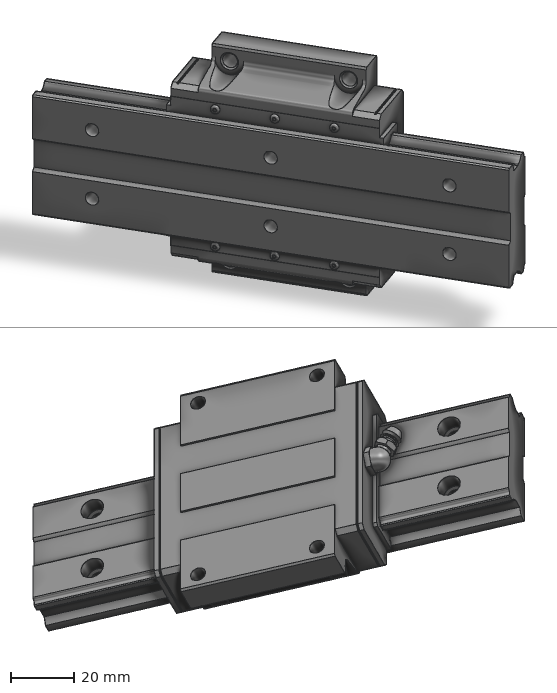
import cadquery as cq
import math


RAIL_LENGTH = 160.0
RAIL_HALF_WIDTH = 21.0
RAIL_BACK = 15.0
RAIL_EDGE = 0.5
RACE_HALF_WIDTH = 18.4
RACE_START = 4.6
RACE_END = 8.3
LIP_Y = 3.4
RIDGE_HALF_WIDTH = 20.8
RIDGE_FRONT = 11.4
RIDGE_BACK = 13.5
SHOULDER_HALF_WIDTH = 18.4
RACE_SAG = 0.3
RACE_BEVEL = 0.3
CHANNEL_HALF_WIDTH = 4.8
FRONT_CHANNEL_DEPTH = 1.5
BACK_CHANNEL_DEPTH = 1.0
CHANNEL_FLARE = 1.0
RAIL_HOLE_PITCH = 60.0
RAIL_HOLE_Z = 12.0
RAIL_HOLE_DIAMETER = 4.5
RAIL_BORE_DIAMETER = 7.5
RAIL_BORE_DEPTH = 5.3

TOTAL_HEIGHT = 27.0
CARRIAGE_FRONT = 4.0
BLOCK_HALF_LENGTH = 26.0
BLOCK_HALF_WIDTH = 40.0
FLANGE_FRONT = 17.1
FLANGE_EDGE_DEPTH = 0.5
FLANGE_EDGE_WIDTH = 0.8
FLANGE_FILLET = 2.7
WALL_TOP_HALF_WIDTH = 32.8
WALL_LOW_HALF_WIDTH = 30.5
CORNER_RADIUS = 2.0
CAP_HALF_LENGTH = 35.0
CAP_HALF_WIDTH = 30.4
CAP_BACK = 26.4
CAP_CHAMFER = 1.6
JOINT_HALF_LENGTH = 33.5
JOINT_WIDTH = 0.5
JOINT_DEPTH = 0.3
PAD_GROOVE_INNER = 7.7
PAD_GROOVE_OUTER = 19.4
SEAL_HALF_LENGTH = 36.5
SEAL_HALF_WIDTH = 22.9
SEAL_CHAMFER = 1.0
SEAL_LIP_Y = 4.8
SEAL_LIP_HALF_WIDTH = 19.8
SEAL_MOUTH_HALF_WIDTH = 20.3
STRIP_HALF_WIDTH = 26.0
STRIP_STEP = 0.2
BODY_FRONT = CARRIAGE_FRONT + STRIP_STEP
SCREW_PITCH = 20.0
SCREW_Z = 24.0
SCREW_DIAMETER = 3.0
SCREW_HEIGHT = 1.0
SCREW_ROUND = 0.6
SOCKET_DIAMETER = 1.1
SOCKET_DEPTH = 0.5
MOUNT_X = 20.0
MOUNT_Z = 34.9
MOUNT_DIAMETER = 5.0
MOUNT_SINK_DIAMETER = 6.0
SPOTFACE_DIAMETER = 9.5

NIPPLE_Y = 21.1
NIPPLE_TILT = 30.0
BASE_FLATS = 8.0
BASE_THICKNESS = 2.0
BALL_DIAMETER = 8.0
ELBOW_REACH = 38.4
COLLAR_FLATS = 6.7
COLLAR_START = 4.2
COLLAR_END = 7.2
COLLAR_BEVEL = 1.5
NECK_DIAMETER = 5.0
HEAD_DIAMETER = 6.5
HEAD_START = 7.7
HEAD_GROOVE = 8.5
HEAD_RIM = 9.3
TIP_DIAMETER = 4.5
TIP_END = 11.7
INLET_DIAMETER = 2.0
INLET_DEPTH = 1.0


def hex_diameter(flats):
    """Across-corners size of a hexagon from its across-flats size."""
    return flats / math.cos(math.pi / 6)


def bar_along_x(outline, half_length):
    """Extrude a (Y, Z) outline symmetrically about X = 0."""
    return outline.close().extrude(half_length, both=True)


def y_cylinders(points_xz, diameter, y_start, y_end):
    """Cylinders along +Y standing on the plane Y = y_start."""
    plane = cq.Plane(origin=(0, y_start, 0), xDir=(1, 0, 0), normal=(0, 1, 0))
    points = [(x, -z) for x, z in points_xz]
    return cq.Workplane(plane).pushPoints(points).circle(diameter / 2).extrude(y_end - y_start)


def arc_middle(start, end, sag):
    """Middle point of an arc that bulges by sag toward -Z from the chord."""
    chord_y = end[0] - start[0]
    chord_z = end[1] - start[1]
    length = math.hypot(chord_y, chord_z)
    middle_y = (start[0] + end[0]) / 2 + sag * chord_z / length
    middle_z = (start[1] + end[1]) / 2 - sag * abs(chord_y) / length
    return middle_y, middle_z


def half_profile(front_points):
    """Upper half of the rail section: front_points, groove, ridge and shoulder, closed at Z = 0."""
    groove_low = (RACE_END + RACE_BEVEL, RACE_HALF_WIDTH + RACE_BEVEL)
    groove_high = (RIDGE_FRONT - RACE_BEVEL, RIDGE_HALF_WIDTH - RACE_BEVEL)
    back_high = (RIDGE_BACK + RACE_BEVEL, RIDGE_HALF_WIDTH - RACE_BEVEL)
    back_low = (RAIL_BACK - RACE_BEVEL, SHOULDER_HALF_WIDTH + RACE_BEVEL)
    return (
        cq.Workplane("YZ")
        .polyline(front_points + [(RACE_END, RACE_HALF_WIDTH), groove_low])
        .threePointArc(arc_middle(groove_low, groove_high, RACE_SAG), groove_high)
        .lineTo(RIDGE_FRONT, RIDGE_HALF_WIDTH)
        .lineTo(RIDGE_BACK, RIDGE_HALF_WIDTH)
        .lineTo(*back_high)
        .threePointArc(arc_middle(back_high, back_low, RACE_SAG), back_low)
        .lineTo(RAIL_BACK, SHOULDER_HALF_WIDTH)
        .lineTo(RAIL_BACK, CHANNEL_HALF_WIDTH + CHANNEL_FLARE)
        .lineTo(RAIL_BACK - BACK_CHANNEL_DEPTH, CHANNEL_HALF_WIDTH)
        .lineTo(RAIL_BACK - BACK_CHANNEL_DEPTH, 0)
    )


def with_mirror(half):
    """Join a Z > 0 half with its mirror image below Z = 0."""
    return half.union(half.mirror("XY")).clean()


def make_rail():
    front_points = [
        (FRONT_CHANNEL_DEPTH, 0),
        (FRONT_CHANNEL_DEPTH, CHANNEL_HALF_WIDTH),
        (0, CHANNEL_HALF_WIDTH + CHANNEL_FLARE),
        (0, RAIL_HALF_WIDTH - RAIL_EDGE),
        (RAIL_EDGE, RAIL_HALF_WIDTH),
        (LIP_Y, RAIL_HALF_WIDTH),
        (RACE_START, RACE_HALF_WIDTH),
    ]
    rail = with_mirror(bar_along_x(half_profile(front_points), RAIL_LENGTH / 2))
    columns = (-RAIL_HOLE_PITCH, 0, RAIL_HOLE_PITCH)
    holes = [(x, z) for x in columns for z in (-RAIL_HOLE_Z, RAIL_HOLE_Z)]
    rail = rail.cut(y_cylinders(holes, RAIL_HOLE_DIAMETER, 0, RAIL_BACK))
    return rail.cut(y_cylinders(holes, RAIL_BORE_DIAMETER, RAIL_BACK - RAIL_BORE_DEPTH, RAIL_BACK))


def make_rail_opening():
    """Space for the rail inside the carriage, with a relief beside the rail's side lip."""
    front_points = [
        (0, 0),
        (0, SEAL_MOUTH_HALF_WIDTH),
        (CARRIAGE_FRONT, SEAL_MOUTH_HALF_WIDTH),
        (SEAL_LIP_Y, SEAL_LIP_HALF_WIDTH),
        (SEAL_LIP_Y, RACE_HALF_WIDTH),
    ]
    return with_mirror(bar_along_x(half_profile(front_points), SEAL_HALF_LENGTH))


def make_block():
    """Flanged steel block in the middle of the carriage."""
    fillet_start = (FLANGE_FRONT, WALL_TOP_HALF_WIDTH + FLANGE_FILLET)
    fillet_end = (FLANGE_FRONT - FLANGE_FILLET, WALL_TOP_HALF_WIDTH)
    fillet_sag = FLANGE_FILLET * (1 - math.sqrt(0.5))
    half = (
        cq.Workplane("YZ")
        .moveTo(BODY_FRONT, 0)
        .lineTo(BODY_FRONT, WALL_LOW_HALF_WIDTH)
        .lineTo(*fillet_end)
        .threePointArc(arc_middle(fillet_end, fillet_start, fillet_sag), fillet_start)
        .lineTo(FLANGE_FRONT, BLOCK_HALF_WIDTH - FLANGE_EDGE_WIDTH)
        .lineTo(FLANGE_FRONT + FLANGE_EDGE_DEPTH, BLOCK_HALF_WIDTH)
        .lineTo(TOTAL_HEIGHT - FLANGE_EDGE_DEPTH, BLOCK_HALF_WIDTH)
        .lineTo(TOTAL_HEIGHT, BLOCK_HALF_WIDTH - FLANGE_EDGE_WIDTH)
        .lineTo(TOTAL_HEIGHT, PAD_GROOVE_OUTER)
        .lineTo(CAP_BACK, PAD_GROOVE_OUTER)
        .lineTo(CAP_BACK, PAD_GROOVE_INNER)
        .lineTo(TOTAL_HEIGHT, PAD_GROOVE_INNER)
        .lineTo(TOTAL_HEIGHT, 0)
    )
    block = with_mirror(bar_along_x(half, BLOCK_HALF_LENGTH))
    block = block.faces("<Y").edges("|X").fillet(CORNER_RADIUS)
    holes = [(x, z) for x in (-MOUNT_X, MOUNT_X) for z in (-MOUNT_Z, MOUNT_Z)]
    block = block.cut(y_cylinders(holes, SPOTFACE_DIAMETER, BODY_FRONT, FLANGE_FRONT))
    block = block.cut(y_cylinders(holes, MOUNT_DIAMETER, FLANGE_FRONT, TOTAL_HEIGHT))
    for x, z in holes:
        block = block.cut(make_countersink(x, z))
    return block


def make_countersink(x, z):
    """45-degree cone at the flange face of one mounting hole."""
    depth = (MOUNT_SINK_DIAMETER - MOUNT_DIAMETER) / 2
    cone = cq.Solid.makeCone(
        MOUNT_SINK_DIAMETER / 2, MOUNT_DIAMETER / 2, depth, cq.Vector(x, FLANGE_FRONT, z), cq.Vector(0, 1, 0)
    )
    return cq.Workplane(cone)


def bar_between(x_start, x_end, y_start, y_end, half_width):
    """Box symmetric in Z that spans x_start to x_end and y_start to y_end."""
    return (
        cq.Workplane("XY")
        .box(x_end - x_start, y_end - y_start, 2 * half_width)
        .translate(((x_start + x_end) / 2, (y_start + y_end) / 2, 0))
    )


def make_end():
    """End cap with its joint groove and end seal, for the +X end."""
    cap = bar_between(BLOCK_HALF_LENGTH, CAP_HALF_LENGTH, BODY_FRONT, CAP_BACK, CAP_HALF_WIDTH)
    cap = cap.edges("|X").chamfer(CAP_CHAMFER)
    joint_start = JOINT_HALF_LENGTH - JOINT_WIDTH
    joint = bar_between(joint_start, JOINT_HALF_LENGTH, 0, TOTAL_HEIGHT, BLOCK_HALF_WIDTH)
    core = bar_between(
        joint_start, JOINT_HALF_LENGTH, 0, CAP_BACK - JOINT_DEPTH, CAP_HALF_WIDTH - JOINT_DEPTH
    )
    core = core.edges("|X and >Y").chamfer(CAP_CHAMFER)
    seal = bar_between(CAP_HALF_LENGTH, SEAL_HALF_LENGTH, CARRIAGE_FRONT, FLANGE_FRONT, SEAL_HALF_WIDTH)
    seal = seal.edges("|X and >Y").chamfer(SEAL_CHAMFER)
    return cap.cut(joint.cut(core)).union(seal)


def make_screw(x, z):
    """Button-head screw with a round socket, on the front of a side strip."""
    top = CARRIAGE_FRONT - SCREW_HEIGHT
    head = y_cylinders([(x, z)], SCREW_DIAMETER, top, BODY_FRONT).faces("<Y").edges().fillet(SCREW_ROUND)
    return head.cut(y_cylinders([(x, z)], SOCKET_DIAMETER, top, top + SOCKET_DEPTH))


def make_strips():
    """Thin bar along the carriage front that leaves a strip on each side of the rail."""
    return bar_between(-CAP_HALF_LENGTH, CAP_HALF_LENGTH, CARRIAGE_FRONT, BODY_FRONT, STRIP_HALF_WIDTH)


def make_carriage():
    end = make_end()
    carriage = make_block().union(end).union(end.mirror("YZ")).union(make_strips())
    carriage = carriage.cut(make_rail_opening()).cut(make_nipple_base())
    for x in (-SCREW_PITCH, 0, SCREW_PITCH):
        for z in (-SCREW_Z, SCREW_Z):
            carriage = carriage.union(make_screw(x, z))
    return carriage


def make_nipple_base():
    """Hexagon base of the nipple, seated on the -X end cap and let into the seal below it."""
    base_plane = cq.Plane(origin=(-CAP_HALF_LENGTH, NIPPLE_Y, 0), xDir=(0, 1, 0), normal=(-1, 0, 0))
    return cq.Workplane(base_plane).polygon(6, hex_diameter(BASE_FLATS)).extrude(BASE_THICKNESS)


def make_nipple_head():
    """Hexagon collar, neck and tapered head along +Z, starting at the ball centre."""
    corner_diameter = hex_diameter(COLLAR_FLATS)
    collar = (
        cq.Workplane("XY", origin=(0, 0, COLLAR_START))
        .polygon(6, corner_diameter)
        .extrude(COLLAR_END - COLLAR_START)
    )
    bevel = (
        cq.Workplane("XY")
        .circle(corner_diameter / 2)
        .extrude(COLLAR_END)
        .faces(">Z")
        .chamfer(COLLAR_BEVEL)
    )
    spindle = (
        cq.Workplane("XZ")
        .moveTo(0, 0)
        .lineTo(NECK_DIAMETER / 2, 0)
        .lineTo(NECK_DIAMETER / 2, HEAD_START)
        .lineTo(HEAD_DIAMETER / 2, HEAD_START)
        .lineTo(NECK_DIAMETER / 2, HEAD_GROOVE)
        .lineTo(HEAD_DIAMETER / 2, HEAD_RIM)
        .lineTo(TIP_DIAMETER / 2, TIP_END)
        .lineTo(INLET_DIAMETER / 2, TIP_END)
        .lineTo(0, TIP_END - INLET_DEPTH)
        .close()
        .revolve(360, (0, 0, 0), (0, 1, 0))
    )
    return collar.intersect(bevel).union(spindle)


def make_nipple():
    """Elbow grease nipple on the -X end cap."""
    ball_centre = (-ELBOW_REACH, NIPPLE_Y, 0)
    ball_radius = BALL_DIAMETER / 2
    elbow = (
        cq.Workplane("XY", origin=(0, NIPPLE_Y, 0))
        .moveTo(-CAP_HALF_LENGTH, 0)
        .lineTo(-CAP_HALF_LENGTH, ball_radius)
        .lineTo(-ELBOW_REACH, ball_radius)
        .radiusArc((-ELBOW_REACH - ball_radius, 0), -ball_radius)
        .close()
        .revolve(360, (0, 0, 0), (1, 0, 0))
    )
    head = make_nipple_head().rotate((0, 0, 0), (0, 1, 0), -NIPPLE_TILT).translate(ball_centre)
    return make_nipple_base().union(elbow).union(head)


rail = make_rail()
carriage = make_carriage()
grease_nipple = make_nipple()

result = cq.Compound.makeCompound([rail.val(), carriage.val(), grease_nipple.val()])